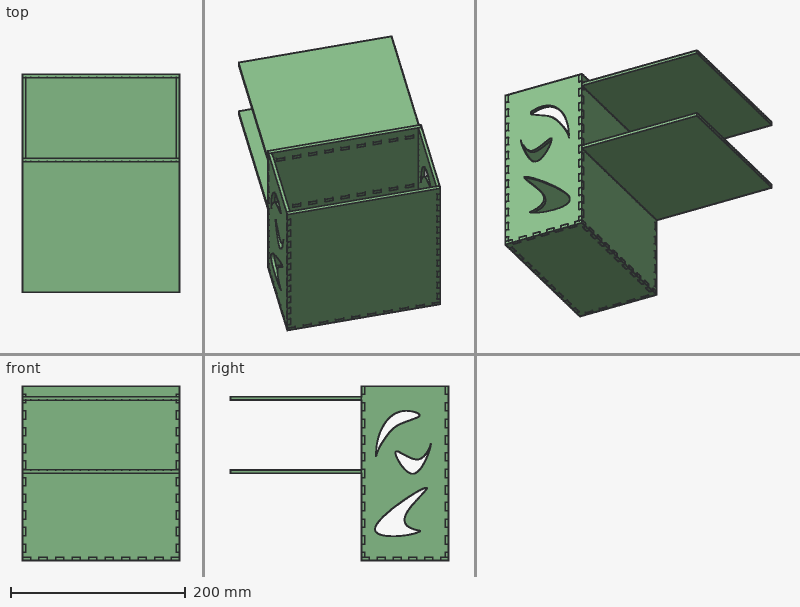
import cadquery as cq

width = 180.0
depth = 100.0
height = 200.0
sheet = 4.0

width_steps = 19
depth_steps = 11
height_steps = 21

shelf_reach = 150.0
shelf_undersides = (100.0, 184.0)

crescent_leaf = [
    (16.8, 119.8), (19.2, 139.6), (30.9, 162.2), (54.0, 171.4), (66.7, 167.3), (44.3, 156.5), (29.3, 143.3),
]
cup_leaf = [
    (79.6, 133.8), (72.3, 112.7), (57.0, 99.8), (53.4, 101.5), (39.8, 125.1), (65.5, 115.9), (74.0, 122.3),
]
hook_leaf = [
    (67.7, 34.1), (51.5, 29.2), (16.1, 34.1), (33.0, 57.5), (75.0, 82.6), (54.6, 59.0), (49.6, 49.0),
]


def block(x_range, y_range, z_range):
    """A box spanning the given ranges."""
    corner = (x_range[0], y_range[0], z_range[0])
    size = (x_range[1] - x_range[0], y_range[1] - y_range[0], z_range[1] - z_range[0])
    return cq.Workplane("XY").box(*size, centered=False).translate(corner)


full_x = (-width / 2, width / 2)
full_y = (0, depth)
full_z = (0, height)
left_x = (-width / 2, -width / 2 + sheet)
right_x = (width / 2 - sheet, width / 2)
front_y = (0, sheet)
back_y = (depth - sheet, depth)
bottom_z = (0, sheet)


def steps(span, count, first):
    """Every second step of a span divided into `count` equal steps, from step number `first`."""
    start, end = span
    pitch = (end - start) / count
    return [(start + i * pitch, start + (i + 1) * pitch) for i in range(first, count, 2)]


def cut_all(panel, cutters):
    """The panel with every cutter removed from it."""
    for cutter in cutters:
        panel = panel.cut(cutter)
    return panel


def make_shelf_tabs(underside):
    """The row of tabs along one shelf, as thick as the front panel that they pass through."""
    tab_z = (underside, underside + sheet)
    return [block(x, front_y, tab_z) for x in steps(full_x, width_steps, 1)]


def make_bottom():
    """The bottom keeps its four corners; its notches take the fingers of the walls."""
    notches = [block(x, y, bottom_z) for x in steps(full_x, width_steps, 1) for y in (front_y, back_y)]
    notches += [block(x, y, bottom_z) for y in steps(full_y, depth_steps, 1) for x in (left_x, right_x)]
    return cut_all(block(full_x, full_y, bottom_z), notches)


def make_face_panel(y_range):
    """Front or back panel: notched at both ends for the sides and below for the bottom."""
    notches = [block(x, y_range, z) for z in steps(full_z, height_steps, 1) for x in (left_x, right_x)]
    notches += [block(x, y_range, bottom_z) for x in steps(full_x, width_steps, 0)]
    return cut_all(block(full_x, y_range, full_z), notches)


def make_leaf(points):
    """A leaf-shaped prism running through the whole width of the box."""
    outline = cq.Workplane("YZ", origin=(full_x[0], 0, 0)).spline(points + points[:1]).close()
    return outline.extrude(width)


def make_side_panel(x_range):
    """Side panel: notched for the front, back and bottom, and pierced by the three leaves."""
    notches = [block(x_range, y, z) for z in steps(full_z, height_steps, 0) for y in (front_y, back_y)]
    notches += [block(x_range, y, bottom_z) for y in steps(full_y, depth_steps, 0)]
    leaves = [make_leaf(points) for points in (crescent_leaf, cup_leaf, hook_leaf)]
    return cut_all(block(x_range, full_y, full_z), notches + leaves)


def make_shelf(underside):
    """A sheet of the full width, standing out from the front panel, with tabs along its back edge."""
    shelf = block(full_x, (-shelf_reach, 0), (underside, underside + sheet))
    for tab in make_shelf_tabs(underside):
        shelf = shelf.union(tab)
    return shelf


bottom = make_bottom()
slots = [tab for z in shelf_undersides for tab in make_shelf_tabs(z)]
front_panel = cut_all(make_face_panel(front_y), slots)
back_panel = make_face_panel(back_y)
left_panel, right_panel = [make_side_panel(x) for x in (left_x, right_x)]
shelves = [make_shelf(z) for z in shelf_undersides]

bodies = [bottom, front_panel, back_panel, left_panel, right_panel, *shelves]
result = cq.Compound.makeCompound([body.val() for body in bodies])